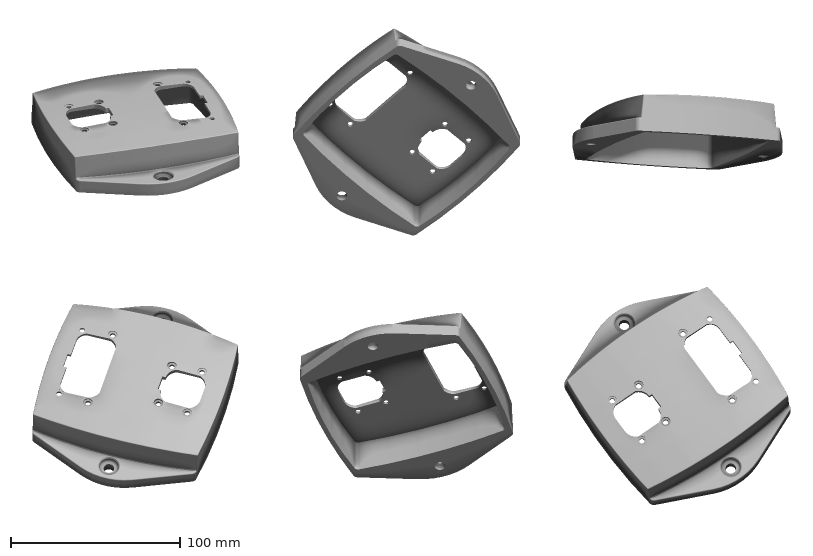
import cadquery as cq
import math

LENGTH = 127.0
WIDTH = 106.8
HEIGHT = 25.3

FLANGE_HEIGHT = 8.0
TIP_RADIUS = 40.6
FLANK_ANGLE = 23.7
CORNER_Y = 50.3
CORNER_RADIUS = 3.2
FLANGE_EDGE_RADIUS = 0.6

SIDE_X = 47.9
SIDE_CORNER_X = 43.7
SIDE_DRAFT = 5.6
SIDE_OVERRUN = 10.2
DOME_DROP_X = 1.8
DOME_DROP_Y = 2.2
HOUSING_EDGE_RADIUS = 0.6
FOOT_TRIM = 0.8
FOOT_SIZE = 0.5

END_WALL = 2.9
CAVITY_SIDE_X = 42.5
CAVITY_CORNER_X = 39.6
CAVITY_CEILING = 22.1
CAVITY_CORNER_RADIUS = 2.5

MOUNT_X = 54.6
MOUNT_DIAMETER = 6.2
MOUNT_RECESS_DIAMETER = 11.5
MOUNT_RECESS_DEPTH = 2.5
MOUNT_RIM_CHAMFER = 0.6
MOUNT_FLOOR_RADIUS = 1.0

NOTCH_HALF_WIDTH = 4.7
NOTCH_DEPTH = 2.0
LARGE_HALF_WIDTH = 22.0
LARGE_TOP_Y = 41.3
LARGE_BOTTOM_Y = 17.0
SMALL_HALF_WIDTH = 12.0
SMALL_TOP_Y = -17.1
SMALL_BOTTOM_Y = -41.3
LARGE_TOP_CORNER = (6.4, 4.8, 6.6)
LARGE_BOTTOM_CORNER = (5.0, 5.0, 9.5)
SMALL_CORNER = (7.1, 4.8, 7.9)

SCREW_DIAMETER = 3.2
SCREW_RECESS_DIAMETER = 5.6
SCREW_RECESS_FLOOR = 23.6
SCREW_PLACES = [(23.7, 40.0), (25.3, 21.7), (13.8, -18.3), (15.2, -36.5)]

TIP_X = LENGTH / 2
END_Y = WIDTH / 2
flank = math.radians(FLANK_ANGLE)
tangent_x = TIP_X - TIP_RADIUS + TIP_RADIUS * math.cos(flank)
tangent_y = TIP_RADIUS * math.sin(flank)
corner_x = tangent_x - (CORNER_Y - tangent_y) * math.tan(flank)


def arc_radius(half_chord, sagitta):
    return (half_chord**2 + sagitta**2) / (2 * sagitta)


def flange_outline():
    return (
        cq.Workplane("XY")
        .moveTo(-corner_x, CORNER_Y)
        .threePointArc((0, END_Y), (corner_x, CORNER_Y))
        .lineTo(tangent_x, tangent_y)
        .threePointArc((TIP_X, 0), (tangent_x, -tangent_y))
        .lineTo(corner_x, -CORNER_Y)
        .threePointArc((0, -END_Y), (-corner_x, -CORNER_Y))
        .lineTo(-tangent_x, -tangent_y)
        .threePointArc((-TIP_X, 0), (-tangent_x, tangent_y))
        .close()
    )


def make_flange():
    block = flange_outline().extrude(FLANGE_HEIGHT)
    corners = cq.selectors.BoxSelector(
        (-tangent_x + CORNER_RADIUS, -END_Y, 0), (tangent_x - CORNER_RADIUS, END_Y, FLANGE_HEIGHT)
    )
    block = block.edges("|Z").edges(corners).fillet(CORNER_RADIUS)
    return block.faces(">Z").edges().fillet(FLANGE_EDGE_RADIUS)


def make_dome():
    """Solid whose doubly curved top bounds the housing."""
    radius_x = arc_radius(SIDE_X, DOME_DROP_X)
    radius_y = arc_radius(END_Y, DOME_DROP_Y)
    reach = LENGTH / 2
    sweep = 20
    edge_z = HEIGHT - radius_x + math.sqrt(radius_x**2 - reach**2)
    base_z = -HEIGHT
    axis_z = HEIGHT - radius_y
    dome = (
        cq.Workplane("XZ")
        .moveTo(-reach, base_z)
        .lineTo(-reach, edge_z)
        .threePointArc((0, HEIGHT), (reach, edge_z))
        .lineTo(reach, base_z)
        .close()
        .revolve(sweep, (0, axis_z, 0), (1, axis_z, 0))
    )
    return dome.rotate((0, 0, axis_z), (1, 0, axis_z), -sweep / 2)


def side_profile(inset):
    """Outline between the bulging sides, run past the curved ends along Y."""
    side_radius = arc_radius(CORNER_Y, SIDE_X - SIDE_CORNER_X)
    overrun_y = END_Y + SIDE_OVERRUN
    tip_x = SIDE_X - inset
    overrun_x = tip_x - side_radius + math.sqrt(side_radius**2 - overrun_y**2)
    return (
        cq.Workplane("XY")
        .moveTo(-overrun_x, overrun_y)
        .lineTo(overrun_x, overrun_y)
        .threePointArc((tip_x, 0), (overrun_x, -overrun_y))
        .lineTo(-overrun_x, -overrun_y)
        .threePointArc((-tip_x, 0), (-overrun_x, overrun_y))
        .close()
    )


def make_housing():
    sides = side_profile(0).extrude(HEIGHT, taper=SIDE_DRAFT)
    ends = flange_outline().extrude(HEIGHT)
    body = sides.intersect(ends).intersect(make_dome())
    return body.edges("not(#Z and <Z)").fillet(HOUSING_EDGE_RADIUS)


def make_foot():
    """Sloped bead where the housing sides stand on the flange."""
    base_z = FLANGE_HEIGHT - FOOT_SIZE
    height = 3 * FOOT_SIZE
    draft_inset = FLANGE_HEIGHT * math.tan(math.radians(SIDE_DRAFT))
    bead = side_profile(draft_inset - 2 * FOOT_SIZE).extrude(height, taper=45)
    trim = flange_outline().offset2D(-FOOT_TRIM).extrude(height)
    return bead.intersect(trim).translate((0, 0, base_z))


def cut_cavity(body):
    end_y = END_Y - END_WALL
    corner_y = CORNER_Y - END_WALL
    cavity = (
        cq.Workplane("XY")
        .moveTo(-CAVITY_CORNER_X, corner_y)
        .threePointArc((0, end_y), (CAVITY_CORNER_X, corner_y))
        .threePointArc((CAVITY_SIDE_X, 0), (CAVITY_CORNER_X, -corner_y))
        .threePointArc((0, -end_y), (-CAVITY_CORNER_X, -corner_y))
        .threePointArc((-CAVITY_SIDE_X, 0), (-CAVITY_CORNER_X, corner_y))
        .close()
        .extrude(CAVITY_CEILING)
        .edges("|Z")
        .fillet(CAVITY_CORNER_RADIUS)
    )
    return body.cut(cavity)


def make_opening(half_width, top_y, bottom_y, top_corner, bottom_corner):
    top_dx, top_dy, top_radius = top_corner
    bottom_dx, bottom_dy, bottom_radius = bottom_corner
    notch_y = top_y + NOTCH_DEPTH
    return (
        cq.Workplane("XY")
        .moveTo(-NOTCH_HALF_WIDTH, top_y)
        .lineTo(-NOTCH_HALF_WIDTH, notch_y)
        .lineTo(NOTCH_HALF_WIDTH, notch_y)
        .lineTo(NOTCH_HALF_WIDTH, top_y)
        .lineTo(half_width - top_dx, top_y)
        .radiusArc((half_width, top_y - top_dy), top_radius)
        .lineTo(half_width, bottom_y + bottom_dy)
        .radiusArc((half_width - bottom_dx, bottom_y), bottom_radius)
        .lineTo(-half_width + bottom_dx, bottom_y)
        .radiusArc((-half_width, bottom_y + bottom_dy), bottom_radius)
        .lineTo(-half_width, top_y - top_dy)
        .radiusArc((-half_width + top_dx, top_y), top_radius)
        .close()
        .extrude(HEIGHT)
    )


def cut_screw_holes(body):
    places = [(side * x, y) for x, y in SCREW_PLACES for side in (-1, 1)]
    holes = cq.Workplane("XY").pushPoints(places).circle(SCREW_DIAMETER / 2).extrude(HEIGHT)
    recesses = (
        cq.Workplane("XY", origin=(0, 0, SCREW_RECESS_FLOOR))
        .pushPoints(places)
        .circle(SCREW_RECESS_DIAMETER / 2)
        .extrude(HEIGHT - SCREW_RECESS_FLOOR)
    )
    return body.cut(holes).cut(recesses)


def cut_mounting_holes(body):
    recess_radius = MOUNT_RECESS_DIAMETER / 2
    floor_z = FLANGE_HEIGHT - MOUNT_RECESS_DEPTH
    hole = cq.Workplane("XY").circle(MOUNT_DIAMETER / 2).extrude(FLANGE_HEIGHT)
    recess = (
        cq.Workplane("XY", origin=(0, 0, floor_z))
        .circle(recess_radius)
        .extrude(MOUNT_RECESS_DEPTH)
        .faces("<Z")
        .edges()
        .fillet(MOUNT_FLOOR_RADIUS)
    )
    rim = (
        cq.Workplane("XY", origin=(0, 0, FLANGE_HEIGHT))
        .circle(recess_radius + MOUNT_RIM_CHAMFER)
        .extrude(-MOUNT_RIM_CHAMFER, taper=45)
    )
    cutter = hole.union(recess).union(rim)
    for side in (-1, 1):
        body = body.cut(cutter.translate((side * MOUNT_X, 0, 0)))
    return body


result = make_flange().union(make_foot()).union(make_housing())
result = cut_cavity(result)
result = result.cut(
    make_opening(LARGE_HALF_WIDTH, LARGE_TOP_Y, LARGE_BOTTOM_Y, LARGE_TOP_CORNER, LARGE_BOTTOM_CORNER)
)
result = result.cut(
    make_opening(SMALL_HALF_WIDTH, SMALL_TOP_Y, SMALL_BOTTOM_Y, SMALL_CORNER, SMALL_CORNER)
)
result = cut_screw_holes(result)
result = cut_mounting_holes(result)